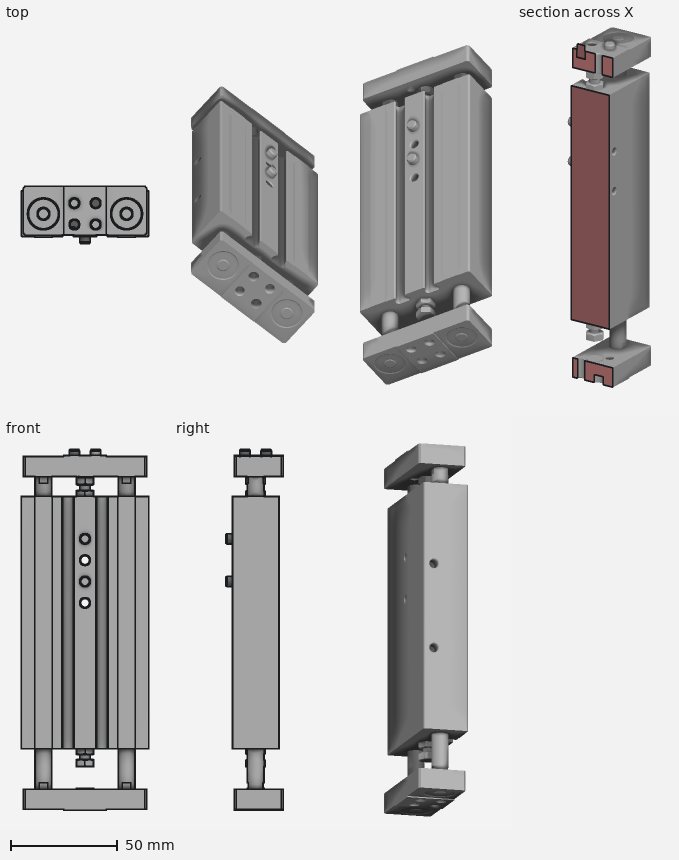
import cadquery as cq
import math


PLATE_WIDTH = 58.0
PLATE_FRONT = -10.0
PLATE_BACK = 13.0
PLATE_THICKNESS = 9.5
PLATE_CHAMFER = 1.0
RAISED_FACE_WIDTH = 20.0
RAISED_FACE_HEIGHT = 0.5
BUMPER_DIAMETER = 8.0
BUMPER_HEIGHT = 0.5
SLIDE_HEIGHT = 166.6
MOUNT_OFFSET = 5.0

ROD_SPACING = 39.0
ROD_DIAMETER = 8.0
FLATS_ACROSS = 7.0
FLATS_HEIGHT = 3.0

RECESS_DIAMETER = 15.0
RECESS_FLOOR_DIAMETER = 14.0
RECESS_DEPTH = 0.3
TIP_BASE_DIAMETER = 6.0
TIP_DIAMETER = 5.0

THREAD_DIAMETER = 4.13
MOUTH_DIAMETER = 5.0
MOUTH_DEPTH = (MOUTH_DIAMETER - THREAD_DIAMETER) / 2

HOUSING_WIDTH = 60.0
HOUSING_DEPTH = 22.0
HOUSING_HEIGHT = 118.5
HOUSING_BOTTOM = 28.9
HOUSING_CORNER_RADIUS = 1.0

STRIP_WIDTH = 8.2
STRIP_RISE = 0.2

SLOT_SPACING = 16.0
SLOT_OPENING = 5.0
SLOT_MOUTH_CHAMFER = 0.4
SLOT_LIP = 0.8
SLOT_WIDTH = 7.5
SLOT_WALL_START = 2.5
SLOT_WALL_END = 3.7
SLOT_FLOOR_WIDTH = 5.5
SLOT_DEPTH = 4.8

HOLE_PITCH = 10.0

PORT_Y = 6.0
PORT_SPACING = 40.5
PORT_DEPTH = 6.0
DRILL_POINT_ANGLE = 118.0

PIN_DIAMETER = 5.0
PIN_END_DIAMETER = 4.0
PIN_TAPER_LENGTH = 0.8
PIN_INSERTED = 4.0
PLATE_PIN_RISE = 2.8
HOUSING_PIN_RISE = 3.0

SCREW_DIAMETER = 5.0
SCREW_INSERTED = 8.0
HEX_ACROSS_FLATS = 8.0
HEX_CHAMFER_ANGLE = 30.0
HEAD_HEIGHT = 3.5
HEAD_FACE_DIAMETER = 6.88
NUT_HEIGHT = 2.7
NUT_FACE_DIAMETER = 7.5
BOTTOM_SCREW_REACH = 8.3

PLATE_OUTER_FACE = RAISED_FACE_HEIGHT
PLATE_INNER_FACE = PLATE_OUTER_FACE + PLATE_THICKNESS
PLATE_DEPTH = PLATE_BACK - PLATE_FRONT
PLATE_CENTER_Y = (PLATE_FRONT + PLATE_BACK) / 2
ROD_LENGTH = SLIDE_HEIGHT - 2 * PLATE_INNER_FACE
ROD_XS = (-ROD_SPACING / 2, ROD_SPACING / 2)
HOUSING_TOP = HOUSING_BOTTOM + HOUSING_HEIGHT
HOUSING_MIDDLE = HOUSING_BOTTOM + HOUSING_HEIGHT / 2
HOUSING_FRONT = -HOUSING_DEPTH / 2
HOUSING_SIDE = -HOUSING_WIDTH / 2
SLOT_XS = (-SLOT_SPACING / 2, SLOT_SPACING / 2)
PORT_ZS = (HOUSING_MIDDLE - PORT_SPACING / 2, HOUSING_MIDDLE + PORT_SPACING / 2)
FRONT_PIN_ZS = (HOUSING_TOP - 2 * HOLE_PITCH, HOUSING_TOP - 4 * HOLE_PITCH)
RECESSED_FRONT = HOUSING_FRONT + STRIP_RISE
FRONT_HOLE_ZS = tuple(z - HOLE_PITCH for z in FRONT_PIN_ZS)
TOP_SCREW_REACH = SLIDE_HEIGHT - PLATE_INNER_FACE - BUMPER_HEIGHT - HOUSING_TOP

UP = (0, 0, 1)
INTO_FRONT = (0, 1, 0)
INTO_SIDE = (1, 0, 0)


def cylinder(start, direction, diameter, length):
    solid = cq.Solid.makeCylinder(diameter / 2, length, cq.Vector(start), cq.Vector(direction))
    return cq.Workplane(solid)


def cone(start, direction, start_diameter, end_diameter, length):
    solid = cq.Solid.makeCone(
        start_diameter / 2, end_diameter / 2, length, cq.Vector(start), cq.Vector(direction)
    )
    return cq.Workplane(solid)


def threaded_hole(start, direction, depth):
    """Cutter for a hole with a countersunk mouth at `start`."""
    bore = cylinder(start, direction, THREAD_DIAMETER, depth)
    return bore.union(cone(start, direction, MOUTH_DIAMETER, THREAD_DIAMETER, MOUTH_DEPTH))


def upside_down(shape):
    """Turn half a turn about the Y axis."""
    return shape.rotate((0, 0, 0), (0, 1, 0), 180)




def end_recess(x):
    """Cutter for the recess around a rod end, leaving the rod tip standing."""
    start = (x, 0, PLATE_OUTER_FACE)
    recess = cone(start, UP, RECESS_DIAMETER, RECESS_FLOOR_DIAMETER, RECESS_DEPTH)
    return recess.cut(cone(start, UP, TIP_DIAMETER, TIP_BASE_DIAMETER, RECESS_DEPTH))


def make_end_plate():
    """Bottom end plate, with its outer face down."""
    plate = (
        cq.Workplane("XY", origin=(0, PLATE_CENTER_Y, PLATE_OUTER_FACE))
        .rect(PLATE_WIDTH, PLATE_DEPTH)
        .extrude(PLATE_THICKNESS)
        .edges("|Z")
        .chamfer(PLATE_CHAMFER)
    )
    raised_face = (
        cq.Workplane("XY", origin=(0, PLATE_CENTER_Y, 0))
        .rect(RAISED_FACE_WIDTH, PLATE_DEPTH)
        .extrude(RAISED_FACE_HEIGHT)
    )
    bumper = cylinder((0, 0, PLATE_INNER_FACE), UP, BUMPER_DIAMETER, BUMPER_HEIGHT)
    plate = plate.union(raised_face).union(bumper)
    for x in (-MOUNT_OFFSET, MOUNT_OFFSET):
        plate = plate.cut(threaded_hole((x, -x, 0), UP, PLATE_INNER_FACE))
        plate = plate.cut(cylinder((x, x, 0), UP, PIN_DIAMETER, PIN_INSERTED))
    for x in ROD_XS:
        plate = plate.cut(end_recess(x))
    return plate


def make_rod(x):
    """Guide rod between the end plates, with wrench flats at both ends."""
    rod = cylinder((x, 0, PLATE_INNER_FACE), UP, ROD_DIAMETER, ROD_LENGTH)
    flat_depth = (ROD_DIAMETER - FLATS_ACROSS) / 2
    flat_y = (FLATS_ACROSS + flat_depth) / 2
    flat_z = (ROD_LENGTH - FLATS_HEIGHT) / 2
    for y in (-flat_y, flat_y):
        for z in (-flat_z, flat_z):
            flat = cq.Workplane("XY").box(ROD_DIAMETER, flat_depth, FLATS_HEIGHT)
            rod = rod.cut(flat.translate((x, y, SLIDE_HEIGHT / 2 + z)))
    return rod


def make_slide():
    plate = make_end_plate()
    slide = plate.union(upside_down(plate).translate((0, 0, SLIDE_HEIGHT)))
    for x in ROD_XS:
        slide = slide.union(make_rod(x))
    return slide




def front_strip(x):
    return (
        cq.Workplane("XY", origin=(x, HOUSING_FRONT + STRIP_RISE / 2, HOUSING_BOTTOM))
        .rect(STRIP_WIDTH, STRIP_RISE)
        .extrude(HOUSING_HEIGHT)
    )


def sensor_slot(x):
    """Cutter for an undercut slot that runs the full height of the housing front."""
    right_side = [
        (SLOT_OPENING / 2 + SLOT_MOUTH_CHAMFER, 0),
        (SLOT_OPENING / 2, SLOT_MOUTH_CHAMFER),
        (SLOT_OPENING / 2, SLOT_LIP),
        (SLOT_WIDTH / 2, SLOT_WALL_START),
        (SLOT_WIDTH / 2, SLOT_WALL_END),
        (SLOT_FLOOR_WIDTH / 2, SLOT_DEPTH),
    ]
    left_side = [(-across, depth) for across, depth in reversed(right_side)]
    return (
        cq.Workplane("XY", origin=(x, RECESSED_FRONT, HOUSING_BOTTOM))
        .polyline(right_side + left_side)
        .close()
        .extrude(HOUSING_HEIGHT)
    )


def air_port(z):
    """Cutter for a blind threaded port with a drill-point bottom."""
    hole = threaded_hole((HOUSING_SIDE, PORT_Y, z), INTO_SIDE, PORT_DEPTH)
    point_length = THREAD_DIAMETER / 2 / math.tan(math.radians(DRILL_POINT_ANGLE / 2))
    point = cone((HOUSING_SIDE + PORT_DEPTH, PORT_Y, z), INTO_SIDE, THREAD_DIAMETER, 0, point_length)
    return hole.union(point)


def make_housing():
    housing = (
        cq.Workplane("XY", origin=(0, STRIP_RISE / 2, HOUSING_BOTTOM))
        .rect(HOUSING_WIDTH, HOUSING_DEPTH - STRIP_RISE)
        .extrude(HOUSING_HEIGHT)
        .edges("|Z")
        .fillet(HOUSING_CORNER_RADIUS)
    )
    for x in ROD_XS:
        housing = housing.union(front_strip(x))
        housing = housing.cut(cylinder((x, 0, HOUSING_BOTTOM), UP, ROD_DIAMETER, HOUSING_HEIGHT))
    for x in SLOT_XS:
        housing = housing.cut(sensor_slot(x))
    for z in FRONT_PIN_ZS:
        housing = housing.cut(cylinder((0, RECESSED_FRONT, z), INTO_FRONT, PIN_DIAMETER, PIN_INSERTED))
    for z in FRONT_HOLE_ZS:
        housing = housing.cut(threaded_hole((0, RECESSED_FRONT, z), INTO_FRONT, HOUSING_DEPTH))
    for z in PORT_ZS:
        housing = housing.cut(air_port(z))
    for z in (HOUSING_BOTTOM, HOUSING_TOP - SCREW_INSERTED):
        housing = housing.cut(cylinder((0, 0, z), UP, SCREW_DIAMETER, SCREW_INSERTED))
    return housing




def make_hexagon(height, face_diameter):
    """Hexagon with flats facing +X and -X, its upper corners turned to a cone."""
    corner_diameter = HEX_ACROSS_FLATS / math.cos(math.pi / 6)
    slope = math.tan(math.radians(HEX_CHAMFER_ANGLE))
    cone_height = (corner_diameter - face_diameter) / 2 * slope
    cone_start = height - cone_height
    hexagon = cq.Workplane("XY").polygon(6, HEX_ACROSS_FLATS, circumscribed=True).extrude(height)
    turned = cylinder((0, 0, 0), UP, corner_diameter, cone_start)
    turned = turned.union(cone((0, 0, cone_start), UP, corner_diameter, face_diameter, cone_height))
    return hexagon.intersect(turned)


def make_stop_screw(reach):
    """Screw whose head ends at `reach`, with the chamfered side of the head toward the surface."""
    shank = cylinder((0, 0, -SCREW_INSERTED), UP, SCREW_DIAMETER, SCREW_INSERTED + reach - HEAD_HEIGHT)
    head = upside_down(make_hexagon(HEAD_HEIGHT, HEAD_FACE_DIAMETER)).translate((0, 0, reach))
    return shank.union(head)


def make_lock_nut():
    nut = make_hexagon(NUT_HEIGHT, NUT_FACE_DIAMETER)
    return nut.cut(cylinder((0, 0, 0), UP, SCREW_DIAMETER, NUT_HEIGHT))


def make_pin(rise):
    """Pin with a tapered end that stands `rise` above the surface."""
    body = cylinder((0, 0, -PIN_INSERTED), UP, PIN_DIAMETER, PIN_INSERTED + rise - PIN_TAPER_LENGTH)
    taper = cone((0, 0, rise - PIN_TAPER_LENGTH), UP, PIN_DIAMETER, PIN_END_DIAMETER, PIN_TAPER_LENGTH)
    return body.union(taper)


slide = make_slide()
housing = make_housing()

stop_screws = [
    make_stop_screw(TOP_SCREW_REACH).translate((0, 0, HOUSING_TOP)),
    upside_down(make_stop_screw(BOTTOM_SCREW_REACH)).translate((0, 0, HOUSING_BOTTOM)),
]
lock_nuts = [
    make_lock_nut().translate((0, 0, HOUSING_TOP)),
    upside_down(make_lock_nut()).translate((0, 0, HOUSING_BOTTOM)),
]
plate_pins = [
    make_pin(PLATE_PIN_RISE).translate((x, -x, SLIDE_HEIGHT))
    for x in (-MOUNT_OFFSET, MOUNT_OFFSET)
]
front_pins = [
    make_pin(HOUSING_PIN_RISE + STRIP_RISE)
    .rotate((0, 0, 0), (1, 0, 0), 90)
    .translate((0, RECESSED_FRONT, z))
    for z in FRONT_PIN_ZS
]

bodies = [slide, housing, *stop_screws, *lock_nuts, *plate_pins, *front_pins]
result = cq.Compound.makeCompound([body.val() for body in bodies])